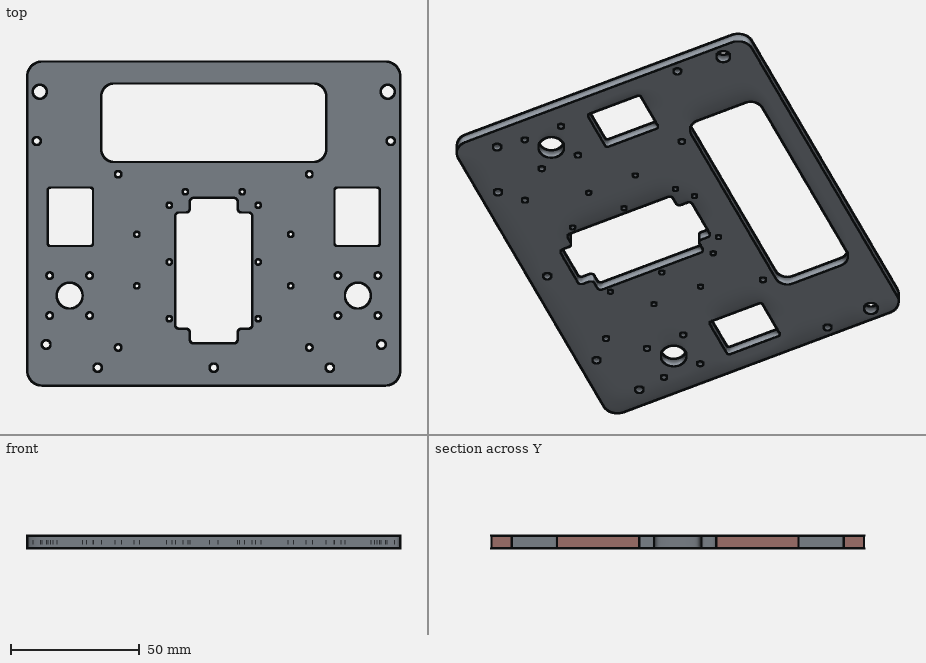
import cadquery as cq

PLATE_LENGTH = 145.0
PLATE_WIDTH = 126.0
PLATE_THICKNESS = 5.0
PLATE_CORNER_RADIUS = 6.0

WINDOW_LENGTH = 87.3
WINDOW_WIDTH = 30.5
WINDOW_CENTER_Y = 39.2
WINDOW_CORNER_RADIUS = 5.0

SIDE_CUTOUT_LENGTH = 17.5
SIDE_CUTOUT_WIDTH = 22.6
SIDE_CUTOUT_X = 55.7
SIDE_CUTOUT_Y = 2.6
SIDE_CUTOUT_CORNER_RADIUS = 1.0

OPENING_LENGTH = 29.9
OPENING_WIDTH = 56.4
OPENING_STEP = 5.7
OPENING_CENTER_Y = -18.3
OPENING_CORNER_RADIUS = 1.5

ROUND_HOLE_DIAMETER = 10.0
ROUND_HOLE_X = 56.0
ROUND_HOLE_Y = -28.0
PATTERN_PITCH = 15.5

SMALL_DIAMETER = 2.0
SCREW_DIAMETER = 2.5
EDGE_DIAMETER = 3.0
BOTTOM_ROW_DIAMETER = 3.2
LOWER_CORNER_DIAMETER = 3.3
UPPER_CORNER_DIAMETER = 5.4

OPENING_HOLE_X = 17.3
OPENING_HOLE_MIDDLE_Y = -15.0
OPENING_HOLE_PITCH = 22.0
END_PAIR = (11.0, 12.3)

INNER_PATTERN_X = 29.9
INNER_PATTERN_ROWS = (-4.2, -24.2)
OUTER_PATTERN_X = 37.1
OUTER_PATTERN_ROWS = (19.1, -48.1)

UPPER_CORNER_HOLE = (67.5, 51.2)
EDGE_HOLE = (68.7, 32.0)
LOWER_CORNER_HOLE = (65.1, -47.0)
BOTTOM_ROW_Y = -56.0
BOTTOM_ROW_PITCH = 45.1


def rounded_block(length, width, radius, x=0, y=0):
    """Block as thick as the plate, with rounded vertical edges."""
    block = cq.Workplane("XY").center(x, y).rect(length, width).extrude(PLATE_THICKNESS)
    return block.edges("|Z").fillet(radius)


def opening_block():
    """Cross-shaped block for the central opening, rounded at every corner."""
    base = cq.Workplane("XY").center(0, OPENING_CENTER_Y)
    narrow_length = OPENING_LENGTH - 2 * OPENING_STEP
    short_width = OPENING_WIDTH - 2 * OPENING_STEP
    narrow = base.rect(narrow_length, OPENING_WIDTH).extrude(PLATE_THICKNESS)
    wide = base.rect(OPENING_LENGTH, short_width).extrude(PLATE_THICKNESS)
    return narrow.union(wide).edges("|Z").fillet(OPENING_CORNER_RADIUS)


def mirrored(points):
    """The given points together with their mirror images across the YZ plane."""
    return [(side * x, y) for x, y in points for side in (-1, 1)]


def drill(body, points, diameter):
    """Cut a through hole at each point."""
    pins = cq.Workplane("XY").pushPoints(points).circle(diameter / 2).extrude(PLATE_THICKNESS)
    return body.cut(pins)


plate = rounded_block(PLATE_LENGTH, PLATE_WIDTH, PLATE_CORNER_RADIUS)
plate = plate.cut(rounded_block(WINDOW_LENGTH, WINDOW_WIDTH, WINDOW_CORNER_RADIUS, y=WINDOW_CENTER_Y))
for cutout_x, cutout_y in mirrored([(SIDE_CUTOUT_X, SIDE_CUTOUT_Y)]):
    plate = plate.cut(
        rounded_block(SIDE_CUTOUT_LENGTH, SIDE_CUTOUT_WIDTH, SIDE_CUTOUT_CORNER_RADIUS, cutout_x, cutout_y)
    )
plate = plate.cut(opening_block())

plate = drill(plate, mirrored([(ROUND_HOLE_X, ROUND_HOLE_Y)]), ROUND_HOLE_DIAMETER)
half_pitch = PATTERN_PITCH / 2
screw_points = [
    (ROUND_HOLE_X + dx, ROUND_HOLE_Y + dy)
    for dx in (-half_pitch, half_pitch)
    for dy in (-half_pitch, half_pitch)
]
screw_points += [(OUTER_PATTERN_X, row_y) for row_y in OUTER_PATTERN_ROWS]
plate = drill(plate, mirrored(screw_points), SCREW_DIAMETER)

small_points = [
    (OPENING_HOLE_X, OPENING_HOLE_MIDDLE_Y + row * OPENING_HOLE_PITCH) for row in (-1, 0, 1)
]
small_points.append(END_PAIR)
small_points += [(INNER_PATTERN_X, row_y) for row_y in INNER_PATTERN_ROWS]
plate = drill(plate, mirrored(small_points), SMALL_DIAMETER)

plate = drill(plate, mirrored([UPPER_CORNER_HOLE]), UPPER_CORNER_DIAMETER)
plate = drill(plate, mirrored([EDGE_HOLE]), EDGE_DIAMETER)
plate = drill(plate, mirrored([LOWER_CORNER_HOLE]), LOWER_CORNER_DIAMETER)
bottom_row = [(column * BOTTOM_ROW_PITCH, BOTTOM_ROW_Y) for column in (-1, 0, 1)]
plate = drill(plate, bottom_row, BOTTOM_ROW_DIAMETER)

result = plate